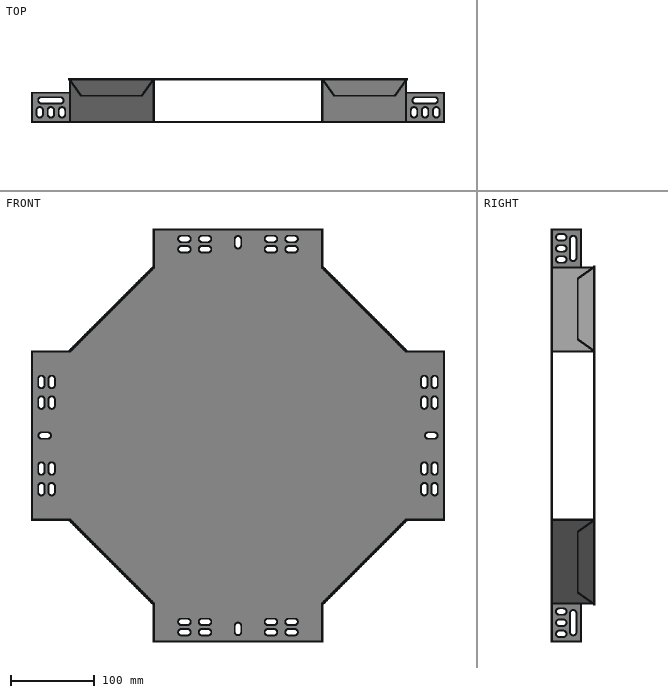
import cadquery as cq
import math


span = 491.5
total_height = 51.5
sheet = 0.8

arm_width = 201.5
arm_length = 45.0
arm_wall_height = 35.5
half_span = span / 2
half_arm = arm_width / 2
corner = half_span - arm_length
tray_height = total_height - sheet
diagonal_shift = sheet * math.sqrt(2)

slot_width = 7.5
floor_slot_length = 14.5
floor_slot_offsets = (39.5, 64.0)
floor_slot_setbacks = (11.5, 23.5)
centre_slot_setback = 15.0

wall_slot_length = 12.5
wall_slot_pitch = 13.5
wall_slot_height = 12.0
long_slot_length = 30.0
long_slot_height = 26.0

flap_depth = 20.0

quarter_turns = (0, 90, 180, 270)


def turned(shape, angle):
    """Rotate a shape about the vertical axis through the centre."""
    return shape.rotate((0, 0, 0), (0, 0, 1), angle)


def stood_up(shape):
    """Turn the height direction from +Z to +Y."""
    return shape.rotate((0, 0, 0), (1, 0, 0), -90)


def four_fold_prism(quarter, bottom, height):
    """Prism whose outline repeats the given quarter of its corners four times."""
    points = []
    for _ in quarter_turns:
        points += quarter
        quarter = [(-y, x) for x, y in quarter]
    return cq.Workplane("XY").workplane(offset=bottom).polyline(points).close().extrude(height)


def cross_prism(half_width, corner_distance, bottom, height):
    """Prism over a cross of four arms whose neighbours are joined by diagonals."""
    quarter = [
        (corner_distance, -half_width),
        (half_span, -half_width),
        (half_span, half_width),
        (corner_distance, half_width),
    ]
    return four_fold_prism(quarter, bottom, height)


def floor_slots():
    """Cutter for the slots in the floor of the +X arm."""
    positions = [
        (half_span - setback, side * offset)
        for setback in floor_slot_setbacks
        for offset in floor_slot_offsets
        for side in (-1, 1)
    ]
    paired = cq.Workplane("XY").pushPoints(positions).slot2D(floor_slot_length, slot_width, 90)
    centre = (
        cq.Workplane("XY")
        .center(half_span - centre_slot_setback, 0)
        .slot2D(floor_slot_length, slot_width)
    )
    return paired.extrude(sheet).union(centre.extrude(sheet))


def wall_slots():
    """Cutter for the slots in both side walls of the +X arm."""
    middle = half_span - arm_length / 2
    positions = [(middle + step * wall_slot_pitch, wall_slot_height) for step in (-1, 0, 1)]
    upright = cq.Workplane("XZ").pushPoints(positions).slot2D(wall_slot_length, slot_width, 90)
    lengthwise = (
        cq.Workplane("XZ")
        .center(middle, long_slot_height)
        .slot2D(long_slot_length, slot_width)
    )
    return upright.extrude(half_arm, both=True).union(lengthwise.extrude(half_arm, both=True))


def arm_trim():
    """Cutter that lowers the side walls of the +X arm."""
    return (
        cq.Workplane("XY")
        .workplane(offset=arm_wall_height)
        .center(corner + arm_length / 2, 0)
        .rect(arm_length, arm_width)
        .extrude(tray_height - arm_wall_height)
    )


def make_tray():
    """Floor with four diagonal walls and low side walls on the arms, open at the arm ends."""
    tray = cross_prism(half_arm, corner, 0, tray_height)
    inner_half_arm = half_arm - sheet
    inner_corner = corner + half_arm - diagonal_shift - inner_half_arm
    tray = tray.cut(cross_prism(inner_half_arm, inner_corner, sheet, tray_height))
    for cutter in (arm_trim(), floor_slots(), wall_slots()):
        for angle in quarter_turns:
            tray = tray.cut(turned(cutter, angle))
    return tray


def lid_flap(lid_edge):
    """Flap folded down along the outer face of one diagonal wall, tapered at 45 degrees."""
    half_length = (lid_edge - half_arm) / math.sqrt(2)
    outer_face = (lid_edge + half_arm) / math.sqrt(2)
    flap = (
        cq.Workplane("YZ", origin=(outer_face - sheet, 0, total_height))
        .polyline([
            (-half_length, 0),
            (half_length, 0),
            (half_length - flap_depth, -flap_depth),
            (flap_depth - half_length, -flap_depth),
        ])
        .close()
        .extrude(sheet)
    )
    return turned(flap, 45)


def make_lid():
    """Octagonal plate resting on the diagonal walls, with a flap over each of them."""
    lid_edge = corner + diagonal_shift
    lid = four_fold_prism([(lid_edge, -half_arm), (lid_edge, half_arm)], tray_height, sheet)
    flap = lid_flap(lid_edge)
    for angle in quarter_turns:
        lid = lid.union(turned(flap, angle))
    return lid


tray = stood_up(make_tray())
lid = stood_up(make_lid())
result = cq.Compound.makeCompound([tray.solids().val(), lid.solids().val()])